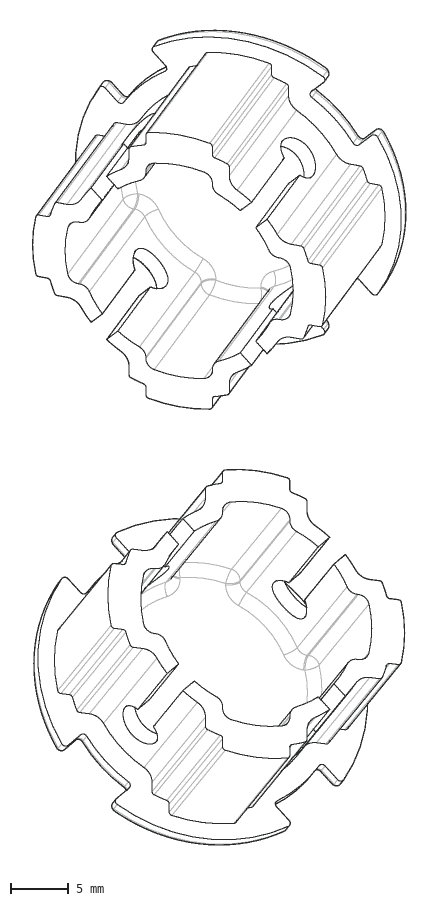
import cadquery as cq
import math


flange_radius = 14.98
flange_thickness = 2.0
flange_edge_radius = 1.0
notch_floor_radius = 12.52
notch_half_width = 3.1
notch_corner_radius = 0.35

tube_length = 15.0
core_radius = 10.48
wide_lobe_radius = 12.28
wide_lobe_half_width = 4.6
lobe_radius = 13.48
lobe_half_width = 3.05
lobe_corner_radius = 0.3
root_corner_radius = 1.5

bore_core_radius = 9.0
bore_lobe_radius = 10.48
bore_corner_radius = 1.0
bore_floor_radius = 1.0

keyhole_radius = 2.0
keyhole_distance = 5.0
slot_width = 2.0

DIAGONALS = (45, 135, 225, 315)
CENTER = (0, 0, 0)
AXIS_TIP = (0, 1, 0)


def disc(radius, length):
    """Cylinder from Y = 0 toward -Y."""
    return cq.Workplane("XZ").circle(radius).extrude(length)


def lobes(radius, half_width, length):
    """Cross of two bars whose ends are rounded to the given radius."""
    bar_length = 3 * radius
    bar_x = cq.Workplane("XZ").rect(bar_length, 2 * half_width).extrude(length)
    bar_z = cq.Workplane("XZ").rect(2 * half_width, bar_length).extrude(length)
    return bar_x.union(bar_z).intersect(disc(radius, length))


def round_corners(body, distance, radius):
    """Round the lengthwise corner edges lying at a given distance from the axis."""
    tolerance = 0.003

    def is_corner(edge):
        point = edge.Center()
        on_main_axis = min(abs(point.x), abs(point.z)) < tolerance
        return abs(math.hypot(point.x, point.z) - distance) < tolerance and not on_main_axis

    corners = body.edges("|Y").filter(is_corner)
    return body.newObject(corners.vals()).fillet(radius)


def make_flange():
    flange = disc(flange_radius, flange_thickness)
    bar_length = 3 * flange_radius
    notch_bar = cq.Workplane("XZ").rect(bar_length, 2 * notch_half_width).extrude(flange_thickness)
    outside = notch_bar.cut(disc(notch_floor_radius, flange_thickness))
    for angle in DIAGONALS[:2]:
        flange = flange.cut(outside.rotate(CENTER, AXIS_TIP, angle))
    for distance in (flange_radius, notch_floor_radius):
        flange = round_corners(flange, distance, notch_corner_radius)
    flange = flange.translate((0, flange_thickness, 0))
    return flange.faces(">Y").edges().fillet(flange_edge_radius)


def make_tube():
    tube = disc(core_radius, tube_length)
    tube = tube.union(lobes(wide_lobe_radius, wide_lobe_half_width, tube_length))
    tube = tube.union(lobes(lobe_radius, lobe_half_width, tube_length))
    for distance in (wide_lobe_radius, lobe_radius):
        tube = round_corners(tube, distance, lobe_corner_radius)
    return round_corners(tube, core_radius, root_corner_radius)


def make_bore():
    bore = disc(bore_core_radius, tube_length)
    bore = bore.union(lobes(bore_lobe_radius, lobe_half_width, tube_length))
    for distance in (bore_core_radius, bore_lobe_radius):
        bore = round_corners(bore, distance, bore_corner_radius)
    return bore.faces(">Y").edges().fillet(bore_floor_radius)


def make_keyhole():
    """Round hole opening into a slot to the tube end, cut outward along +Z."""
    slot_length = tube_length - keyhole_distance
    hole = cq.Workplane("XY").center(0, -keyhole_distance).circle(keyhole_radius).extrude(lobe_radius)
    slot = (
        cq.Workplane("XY")
        .center(0, -keyhole_distance - slot_length / 2)
        .rect(slot_width, slot_length)
        .extrude(lobe_radius)
    )
    return hole.union(slot)


result = make_flange().union(make_tube()).cut(make_bore())
keyhole = make_keyhole()
for angle in DIAGONALS:
    result = result.cut(keyhole.rotate(CENTER, AXIS_TIP, angle))